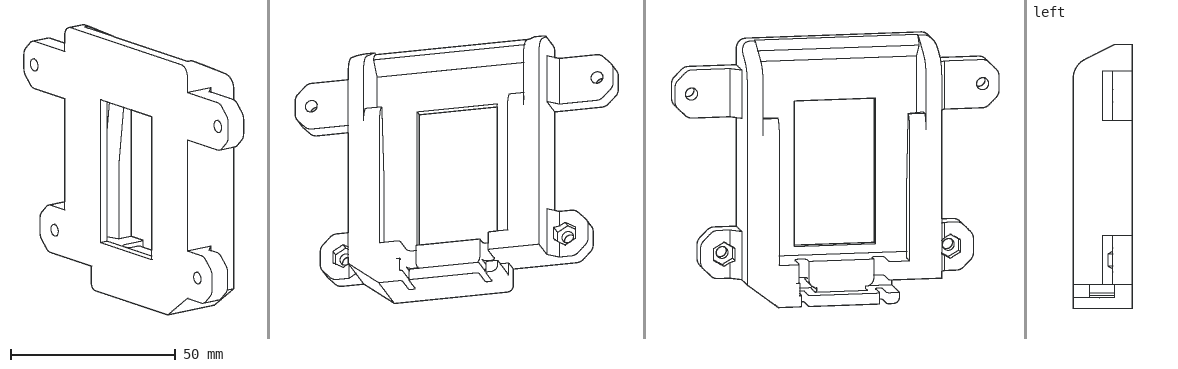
import cadquery as cq
import math

height = 80.3
depth = 18.0
body_width = 60.2
top_corner_radius = 3.0

body_bottom = 7.3
tab_left = -17.0
tab_right = 20.5
tab_corner_radius = 2.0

slope_start_y = 5.4
slope_ratio = 0.5
back_radius = 6.5

lug_height = 14.9
lug_thickness = 6.0
lug_chamfer = 4.0
lug_edge_radius = 3.0
gusset_size = 3.1
upper_lug_width = 100.2
upper_lug_bottom = 57.2
upper_hole_spacing = 90.0
upper_hole_diameter = 3.7
lower_lug_width = 84.4
lower_hole_spacing = 70.0
lower_hole_diameter = 3.6
nut_across_flats = 6.4
nut_pocket_depth = 3.0

cavity_width = 50.4
cavity_floor = 13.0
front_thickness = 2.6
window_width = 25.2
window_height = 45.0
window_bottom = 15.7

lip_gap = 40.3
lip_root_y = 11.5
lip_edge_y = 13.1
lip_flare = 2.3
flare_start_z = 36.1
lip_top_z = 58.1
lip_top_back_y = 16.0

ridge_start_y = 3.9
ridge_peak_y = 6.7
ridge_drop = 2.8
ridge_bulge = 0.3

gap_front_y = 5.4
gap_floor = 3.4
block_width = 20.0
block_back_y = 13.0
block_edge_radius = 2.5
neck_top = 4.7
neck_foot = 0.6
floor_slot_outer = 13.8
floor_slot_front_y = 8.8
floor_slot_end_radius = 1.7
floor_slot_mouth_radius = 1.0
tongue_width = 22.1
tongue_slot_width = 2.1
tongue_slot_front_y = 10.0
tongue_slot_radius = 0.6
tongue_mouth_radius = 0.8

half_body = body_width / 2
half_cavity = cavity_width / 2
half_block = block_width / 2
half_tongue = tongue_width / 2
slope_angle = math.atan(slope_ratio)

rounding_centre_y = depth - back_radius
rounding_start_y = rounding_centre_y + back_radius * math.sin(slope_angle)
rounding_start_z = height - (rounding_start_y - slope_start_y) * slope_ratio
rounding_centre_z = rounding_start_z - back_radius * math.cos(slope_angle)


def box(x_range, y_range, z_range):
    """Box between the given limits on each axis."""
    (x0, x1), (y0, y1), (z0, z1) = x_range, y_range, z_range
    return cq.Workplane("XY").box(x1 - x0, y1 - y0, z1 - z0, centered=False).translate((x0, y0, z0))


def front_plane(y):
    """Plane parallel to XZ at depth y; a negative extrusion runs toward +Y."""
    return cq.Workplane("XZ", origin=(0, y, 0))


def side_plane(x):
    """Plane parallel to YZ at position x; an extrusion runs toward +X."""
    return cq.Workplane("YZ", origin=(x, 0, 0))


def both_sides(solid):
    return solid.union(solid.mirror("YZ"))


def back_profile():
    """Side outline of the body: sloped and then rounded at the top of the back."""
    middle_angle = (math.pi / 2 - slope_angle) / 2
    rounding_middle = (
        rounding_centre_y + back_radius * math.cos(middle_angle),
        rounding_centre_z + back_radius * math.sin(middle_angle),
    )
    return (
        side_plane(-half_body)
        .moveTo(0, 0)
        .lineTo(0, height)
        .lineTo(slope_start_y, height)
        .lineTo(rounding_start_y, rounding_start_z)
        .threePointArc(rounding_middle, (depth, rounding_centre_z))
        .lineTo(depth, 0)
        .close()
        .extrude(body_width)
    )


def body():
    outline = [
        (-half_body, height),
        (half_body, height),
        (half_body, body_bottom),
        (tab_right, 0),
        (tab_left, 0),
        (tab_left, body_bottom),
        (-half_body, body_bottom),
    ]
    block = front_plane(0).polyline(outline).close().extrude(-depth)
    block = block.edges("|Y and >Z").fillet(top_corner_radius)
    tab_corner = cq.selectors.NearestToPointSelector((tab_left, depth / 2, 0))
    return block.edges(tab_corner).fillet(tab_corner_radius)


def lug_pair(width, bottom):
    """Lugs on both sides, chamfered and rounded at their ends, with gussets behind."""
    plate = box((-width / 2, width / 2), (0, lug_thickness), (bottom, bottom + lug_height))
    plate = plate.edges("|Y").chamfer(lug_chamfer)
    plate = plate.edges("|Y").fillet(lug_edge_radius)
    gusset_root = half_body + gusset_size
    gussets = (
        cq.Workplane("XY", origin=(0, 0, bottom))
        .polyline(
            [
                (-gusset_root, lug_thickness),
                (-half_body, lug_thickness + gusset_size),
                (half_body, lug_thickness + gusset_size),
                (gusset_root, lug_thickness),
            ]
        )
        .close()
        .extrude(lug_height)
    )
    return plate.union(gussets)


def lug_holes(spacing, bottom, diameter):
    centres = [(side * spacing / 2, bottom + lug_height / 2) for side in (-1, 1)]
    return front_plane(0).pushPoints(centres).circle(diameter / 2).extrude(-depth)


def nut_pockets():
    """Hexagonal pockets behind the lower lugs, points up and down."""
    corner_diameter = nut_across_flats / math.cos(math.pi / 6)
    z = body_bottom + lug_height / 2
    nut = front_plane(0).polygon(6, corner_diameter).extrude(-gusset_size - nut_pocket_depth)
    nut = nut.rotate((0, 0, 0), (0, 1, 0), 30)
    return both_sides(nut.translate((lower_hole_spacing / 2, lug_thickness - nut_pocket_depth, z)))


def lips():
    """Retaining lips: the slanted front face flares back, the top is rounded like the body."""
    half_gap = lip_gap / 2

    def section(z, shift):
        points = [
            (half_gap, lip_edge_y + shift),
            (half_cavity, lip_root_y + shift),
            (half_cavity, depth),
            (half_gap, depth),
        ]
        return cq.Workplane("XY", origin=(0, 0, z)).polyline(points).close()

    flare_start = section(flare_start_z, 0).wires().val()
    flare_end = section(lip_top_z, lip_flare).wires().val()
    lip = section(cavity_floor, 0).extrude(flare_start_z - cavity_floor)
    lip = lip.union(cq.Workplane(cq.Solid.makeLoft([flare_start, flare_end], True)))
    rounding_rise = math.sqrt(back_radius**2 - (lip_top_back_y - rounding_centre_y) ** 2)
    lip_drop = rounding_centre_z + rounding_rise - lip_top_z
    lip = lip.intersect(back_profile().translate((0, 0, -lip_drop)))
    return both_sides(lip)


def ridge():
    """Rounded ridge on the back of the front wall, sloping back below its peak."""
    peak_z = height - ridge_drop
    middle = ((ridge_start_y + ridge_peak_y) / 2 + ridge_bulge, height - ridge_drop / 2 + ridge_bulge)
    return (
        side_plane(-half_cavity)
        .moveTo(front_thickness, height)
        .lineTo(ridge_start_y, height)
        .threePointArc(middle, (ridge_peak_y, peak_z))
        .lineTo(front_thickness, peak_z - (ridge_peak_y - front_thickness))
        .close()
        .extrude(cavity_width)
    )


def tongue_gap():
    """Gap above the tongue, open to the left, around the rounded foot of the floor block."""
    gap = box((tab_left, floor_slot_outer), (gap_front_y, depth), (gap_floor, body_bottom))
    block = box((-half_block, half_block), (gap_front_y, block_back_y), (neck_top, body_bottom))
    block = block.edges("|Y and <Z").fillet(block_edge_radius)
    half_neck = half_block - block_edge_radius
    neck_outline = [
        (half_neck, neck_top),
        (half_neck, gap_floor + neck_foot),
        (half_neck + neck_foot, gap_floor),
        (-half_neck - neck_foot, gap_floor),
        (-half_neck, gap_floor + neck_foot),
        (-half_neck, neck_top),
    ]
    neck = front_plane(gap_front_y).polyline(neck_outline).close().extrude(gap_front_y - block_back_y)
    return gap.cut(block).cut(neck)


def mouth_rounding(x, radius, z_range):
    """Cutter for the back corner of a slot side at x, with material on its +X side."""
    corner = box((x, x + radius), (depth - radius, depth), z_range)
    z0, z1 = z_range
    keep = cq.Workplane("XY", origin=(x + radius, depth - radius, z0)).circle(radius).extrude(z1 - z0)
    return corner.cut(keep)


def floor_slots():
    """Slots beside the floor block and the clearance behind it."""
    z_range = (gap_floor, cavity_floor)
    slot = box((half_block, floor_slot_outer), (floor_slot_front_y, depth), z_range)
    slot = slot.edges("|Z and <Y").fillet(floor_slot_end_radius)
    floor_z_range = (body_bottom, cavity_floor)
    slot = slot.union(mouth_rounding(floor_slot_outer, floor_slot_mouth_radius, floor_z_range))
    behind = box((-half_block, half_block), (block_back_y, depth), z_range)
    return both_sides(slot).union(behind)


def tongue_slots():
    """Slots that free the tongue, with rounded corners at the back face."""
    slot_outer = half_tongue + tongue_slot_width
    z_range = (0, gap_floor)
    slot = box((half_tongue, slot_outer), (tongue_slot_front_y, depth), z_range)
    slot = slot.edges("|Z and <Y").fillet(tongue_slot_radius)
    slot = slot.union(mouth_rounding(slot_outer, tongue_mouth_radius, z_range))
    slot = slot.union(mouth_rounding(-half_tongue, tongue_mouth_radius, z_range).mirror("YZ"))
    return both_sides(slot)


cavity = box((-half_cavity, half_cavity), (front_thickness, depth), (cavity_floor, height))
window = box(
    (-window_width / 2, window_width / 2),
    (0, front_thickness),
    (window_bottom, window_bottom + window_height),
)

result = body().cut(cavity).cut(window).union(ridge()).union(lips())
result = result.intersect(back_profile())
inner_space = box((-half_cavity, half_cavity), (0, depth), (0, height))
for lug_width, lug_bottom in ((upper_lug_width, upper_lug_bottom), (lower_lug_width, body_bottom)):
    result = result.union(lug_pair(lug_width, lug_bottom).cut(inner_space))
result = result.cut(lug_holes(upper_hole_spacing, upper_lug_bottom, upper_hole_diameter))
result = result.cut(lug_holes(lower_hole_spacing, body_bottom, lower_hole_diameter))
result = result.cut(nut_pockets())
result = result.cut(tongue_gap()).cut(floor_slots()).cut(tongue_slots())